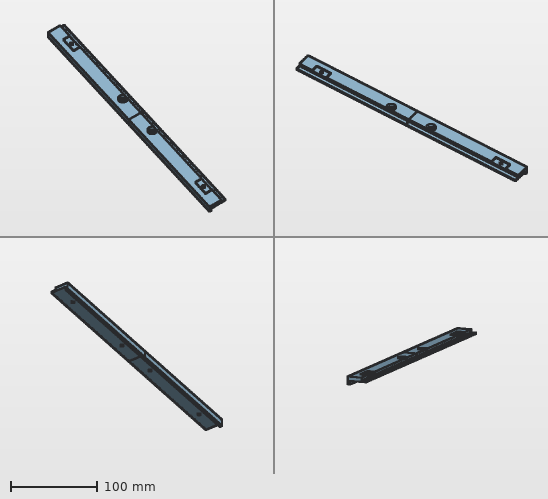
import cadquery as cq

TOTAL_LENGTH = 315.0
DEPTH = 23.0
HEIGHT = 9.0
RAIL_LENGTH = TOTAL_LENGTH / 2

PLATE_THICKNESS = 5.0
LEG_THICKNESS = 3.0
LIP_WIDTH = 5.7
LIP_THICKNESS = 1.5
PLATE_BOTTOM = HEIGHT - PLATE_THICKNESS
PLATE_BACK = DEPTH - LIP_WIDTH

HOLE_OFFSET = 28.7
HOLE_Y = PLATE_BACK - 4.7
HOLE_DIAMETER = 3.5
SINK_DIAMETER = 11.0
SINK_FLOOR_DIAMETER = 6.5
SINK_DEPTH = 2.2
POCKET_LENGTH = 20.2
POCKET_WIDTH = 9.0
POCKET_DEPTH = 1.0


def rail_blank():
    """Angle-shaped bar with a thin lip along its back, starting at X = 0."""
    outline = [
        (0, 0),
        (LEG_THICKNESS, 0),
        (LEG_THICKNESS, PLATE_BOTTOM),
        (DEPTH, PLATE_BOTTOM),
        (DEPTH, PLATE_BOTTOM + LIP_THICKNESS),
        (PLATE_BACK, PLATE_BOTTOM + LIP_THICKNESS),
        (PLATE_BACK, HEIGHT),
        (0, HEIGHT),
    ]
    return cq.Workplane("YZ").polyline(outline).close().extrude(RAIL_LENGTH)


def pocket_cutter(x):
    """Shallow rectangular recess that opens at the back of the plate."""
    return cq.Workplane("XY").box(
        POCKET_LENGTH, POCKET_WIDTH, POCKET_DEPTH, centered=(True, False, False)
    ).translate((x, PLATE_BACK - POCKET_WIDTH, HEIGHT - POCKET_DEPTH))


def hole_cutter(x):
    """Plain hole through the full height of the plate."""
    return (
        cq.Workplane("XY", origin=(x, HOLE_Y, PLATE_BOTTOM))
        .circle(HOLE_DIAMETER / 2)
        .extrude(PLATE_THICKNESS)
    )


def sink_cutter(x):
    """Conical sink with a flat floor around the hole."""
    return (
        cq.Workplane("XY", origin=(x, HOLE_Y, HEIGHT))
        .circle(SINK_DIAMETER / 2)
        .workplane(offset=-SINK_DEPTH)
        .circle(SINK_FLOOR_DIAMETER / 2)
        .loft(ruled=True)
    )


def make_rail():
    """Left rail: a pocketed hole near its outer end, a sunk one near the joint."""
    outer_x = HOLE_OFFSET
    inner_x = RAIL_LENGTH - HOLE_OFFSET
    return (
        rail_blank()
        .cut(pocket_cutter(outer_x))
        .cut(hole_cutter(outer_x))
        .cut(sink_cutter(inner_x))
        .cut(hole_cutter(inner_x))
    )


left_rail = make_rail()
right_rail = left_rail.mirror("YZ", (RAIL_LENGTH, 0, 0))
rails = [left_rail, right_rail]

result = cq.Compound.makeCompound([rail.val() for rail in rails])